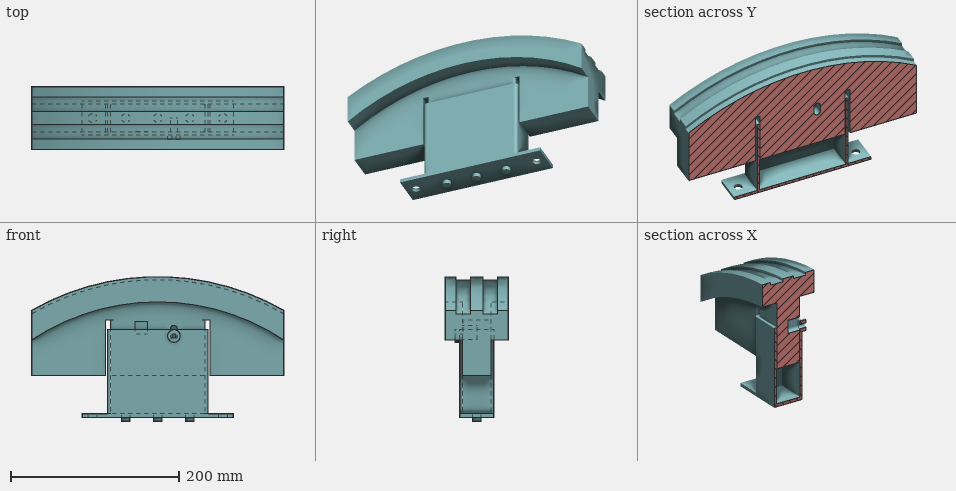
import cadquery as cq

shoe_length = 300.0
shoe_width = 75.0
rim_outer_radius = 300.0
rim_thickness = 30.0
rim_inner_radius = rim_outer_radius - rim_thickness
overall_height = 172.0
arc_center_z = overall_height - rim_outer_radius
groove_width = 17.0
groove_depth = 3.5
groove_offset = 16.2
web_bottom = 54.3

base_length = 180.0
base_thickness = 4.5
base_bottom = 4.5
base_top = base_bottom + base_thickness
box_length = 120.0
box_width = 40.5
box_top = 109.2
box_wall = 3.5
box_corner_radius = 4.0
cavity_length = box_length - 2 * box_wall
cavity_width = box_width - 2 * box_wall
flange_hole_diameter = 10.5
flange_hole_offset = 77.5

boss_x = 19.2
boss_z = 101.5
boss_diameter = 15.0
boss_height = 5.5
boss_hole_diameter = 5.0

tongue_corner_radius = 3.0
clearance_slot_top = 120.3
clearance_slot_half_span = 61.8
guide_slot_width = 8.0
guide_slot_top = 114.0
guide_slot_bottom = boss_z - guide_slot_width / 2
recess_size = 15.0
recess_x = -19.5
recess_top = 118.5
recess_depth = 0.5

pin_diameter = 10.2
pin_spacing = 38.0
pin_positions = [-pin_spacing, 0, pin_spacing]


def box(x_range, width, z_range, y_center=0):
    """Block spanning x_range and z_range, with its width centered on y_center."""
    length = x_range[1] - x_range[0]
    height = z_range[1] - z_range[0]
    corner = (x_range[0], y_center - width / 2, z_range[0])
    return cq.Workplane("XY").box(length, width, height, centered=False).translate(corner)


def disc(radius, width, y_center=0):
    """Cylinder about the arc axis of the shoe."""
    plane = cq.Workplane("XZ", origin=(0, y_center, arc_center_z))
    return plane.circle(radius).extrude(width / 2, both=True)


def cylinder_z(x, diameter, bottom, top):
    """Upright cylinder on the centerline of the base plate."""
    plane = cq.Workplane("XY", origin=(x, 0, bottom))
    return plane.circle(diameter / 2).extrude(top - bottom)


def make_rim():
    x_range = (-shoe_length / 2, shoe_length / 2)
    rim = disc(rim_outer_radius, shoe_width).cut(disc(rim_inner_radius, shoe_width))
    rim = rim.intersect(box(x_range, shoe_width, (0, overall_height)))
    for y in (-groove_offset, groove_offset):
        groove = disc(rim_outer_radius + groove_depth, groove_width, y)
        groove = groove.cut(disc(rim_outer_radius - groove_depth, groove_width, y))
        rim = rim.cut(groove)
    return rim


def make_web():
    x_range = (-shoe_length / 2, shoe_length / 2)
    web = box(x_range, cavity_width, (web_bottom, overall_height))
    web = web.intersect(disc(rim_outer_radius - rim_thickness / 2, cavity_width))
    slot_span = (-clearance_slot_half_span, clearance_slot_half_span)
    tongue = box((-cavity_length / 2, cavity_length / 2), cavity_width, (web_bottom, clearance_slot_top))
    tongue = tongue.edges("|Z").fillet(tongue_corner_radius)
    opening = box(slot_span, cavity_width, (web_bottom, clearance_slot_top))
    return web.cut(opening.cut(tongue))


def make_guide_slot():
    slot_length = guide_slot_top - guide_slot_bottom
    slot_center_z = (guide_slot_top + guide_slot_bottom) / 2
    plane = cq.Workplane("XZ", origin=(boss_x, 0, slot_center_z))
    return plane.slot2D(slot_length, guide_slot_width, 90).extrude(cavity_width / 2)


def make_shoe():
    shoe = make_rim().union(make_web())
    recess = box(
        (recess_x - recess_size / 2, recess_x + recess_size / 2),
        recess_depth,
        (recess_top - recess_size, recess_top),
        -(cavity_width - recess_depth) / 2,
    )
    return shoe.cut(make_guide_slot()).cut(recess)


def make_bracket():
    base = box((-base_length / 2, base_length / 2), box_width, (base_bottom, base_top))
    walls = box((-box_length / 2, box_length / 2), box_width, (base_top, box_top))
    walls = walls.edges("|Z").fillet(box_corner_radius)
    cavity = box((-cavity_length / 2, cavity_length / 2), cavity_width, (base_top, box_top))
    bracket = base.union(walls.cut(cavity))

    boss_plane = cq.Workplane("XZ", origin=(boss_x, -cavity_width / 2, boss_z))
    boss_length = box_wall + boss_height
    bracket = bracket.union(boss_plane.circle(boss_diameter / 2).extrude(boss_length))
    bracket = bracket.cut(boss_plane.circle(boss_hole_diameter / 2).extrude(boss_length))

    for x in (-flange_hole_offset, flange_hole_offset):
        bracket = bracket.cut(cylinder_z(x, flange_hole_diameter, base_bottom, base_top))
    for x in pin_positions:
        bracket = bracket.cut(cylinder_z(x, pin_diameter, base_bottom, base_top))
    return bracket


def make_pin(x):
    return cylinder_z(x, pin_diameter, 0, base_top)


shoe = make_shoe()
bracket = make_bracket()
pins = [make_pin(x) for x in pin_positions]

result = cq.Compound.makeCompound([shoe.val(), bracket.val(), *[pin.val() for pin in pins]])